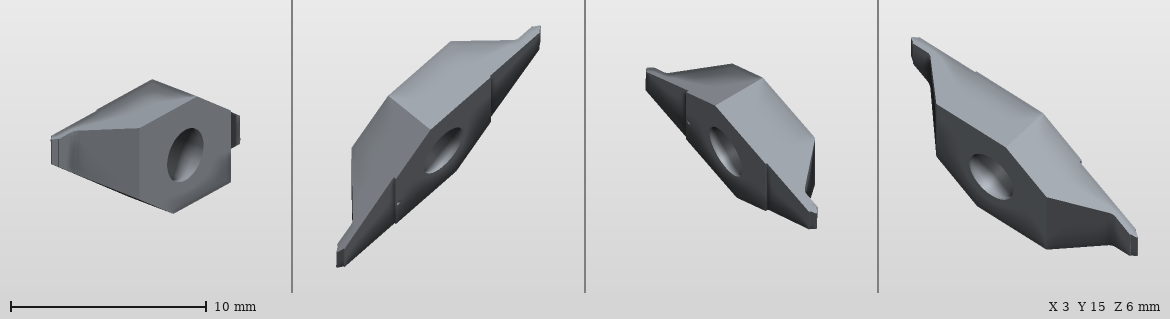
import cadquery as cq
import math


thickness = 3.0
length = 15.0
height = 6.0
slope_angle = 35.0
slope_start = 0.95
hole_diameter = 2.9
pad_length = 7.0

pad_step = 0.08
tip_width = 0.54
nose_height = 0.28
nose_flat = 0.08
nose_angle = 60.0
back_shoulder = 3.65
back_angle = 45.0
fillet_radius = 0.5
relief_angle = 1.0

dimple_y = 3.29
dimple_z = -1.22
dimple_diameter = 0.3

half_length = length / 2
half_height = height / 2


def side_outline():
    """Block of the full thickness with the two flats and the two long slopes."""
    end_height = height - (half_length - slope_start) * math.tan(math.radians(slope_angle))
    return (
        cq.Workplane("YZ")
        .moveTo(-half_length, half_height)
        .lineTo(slope_start, half_height)
        .lineTo(half_length, end_height - half_height)
        .lineTo(half_length, -half_height)
        .lineTo(-slope_start, -half_height)
        .lineTo(-half_length, half_height - end_height)
        .close()
        .extrude(thickness)
    )


def end_profile(workplane, depth):
    """XY section of the -Y end at a depth below its cutting edge."""
    relief = depth * math.tan(math.radians(relief_angle))
    nose_center = pad_step + tip_width / 2
    left = pad_step + relief
    right = pad_step + tip_width - relief
    nose_y = -half_length + relief
    shoulder_y = nose_y + nose_height
    flat_half = nose_flat / 2
    nose_half = flat_half + nose_height * math.tan(math.radians(nose_angle / 2))

    corner_y = -back_shoulder - (thickness - right) / math.tan(math.radians(back_angle))
    tangent_length = fillet_radius * math.tan(math.radians(back_angle / 2))
    wall_tangent = (right, corner_y - tangent_length)
    back_tangent = (
        right + tangent_length * math.sin(math.radians(back_angle)),
        corner_y + tangent_length * math.cos(math.radians(back_angle)),
    )
    middle_angle = math.radians(180 - back_angle / 2)
    arc_middle = (
        right + fillet_radius + fillet_radius * math.cos(middle_angle),
        wall_tangent[1] + fillet_radius * math.sin(middle_angle),
    )
    return (
        workplane.moveTo(left, 0)
        .lineTo(left, shoulder_y)
        .lineTo(nose_center - nose_half, shoulder_y)
        .lineTo(nose_center - flat_half, nose_y)
        .lineTo(nose_center + flat_half, nose_y)
        .lineTo(nose_center + nose_half, shoulder_y)
        .lineTo(right, shoulder_y)
        .lineTo(*wall_tangent)
        .threePointArc(arc_middle, back_tangent)
        .lineTo(thickness, -back_shoulder)
        .lineTo(thickness, 0)
        .close()
    )


def cutting_end():
    """-Y half of the insert, relieved downward from the cutting edge at the top."""
    edge_section = end_profile(cq.Workplane("XY").workplane(offset=half_height), 0)
    both_sections = end_profile(edge_section.workplane(offset=-height), height)
    return both_sections.loft(ruled=True)


def clamping_pad():
    """Middle block that reaches the clamping face."""
    return cq.Workplane("XY").box(thickness, pad_length, height).translate((thickness / 2, 0, 0))


def dimple():
    """Ball that leaves a hemispherical dimple in the pad, with its poles along X."""
    ball = cq.Workplane("YZ").sphere(dimple_diameter / 2)
    return ball.translate((0, dimple_y, dimple_z))


front_end = cutting_end()
rear_end = front_end.rotate((0, 0, 0), (1, 0, 0), 180)
plan = clamping_pad().union(front_end).union(rear_end)
hole = cq.Workplane("YZ").circle(hole_diameter / 2).extrude(thickness)

result = plan.intersect(side_outline()).cut(hole).cut(dimple())